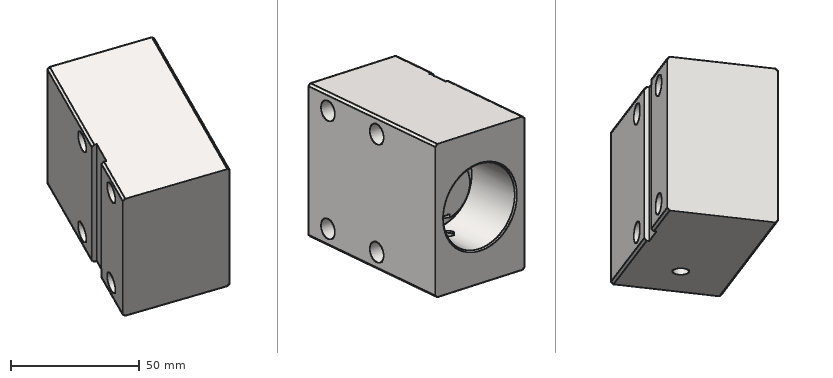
import cadquery as cq

length = 78.0
width = 45.0
height = 65.0
edge_chamfer = 1.0

bore_radius = 18.0
bore_depth = 27.0
bore_chamfer = 0.6
boss_radius = 12.5
boss_face_x = 21.45

slot_center_x = 51.0
slot_width = 10.0
slot_depth = 2.0
mount_diameter = 8.5
mount_pitch_x = 30.0
mount_pitch_z = 50.0

port_x = 20.0
port_radius = 2.7
port_top_z = -10.85
port_entry_radius = 3.3
port_entry_top_z = -18.8

bottom_z = -height / 2


def cylinder_along_x(radius, x_start, x_end):
    return cq.Workplane("YZ", origin=(x_start, 0, 0)).circle(radius).extrude(x_end - x_start)


def port_bore(radius, top_z):
    return cq.Workplane("XY", origin=(port_x, 0, bottom_z)).circle(radius).extrude(top_z - bottom_z)


block = cq.Workplane("XY").box(length, width, height).translate((length / 2, 0, 0))
block = block.edges("|X").chamfer(edge_chamfer)

slot = (
    cq.Workplane("XY")
    .box(slot_width, 2 * slot_depth, height)
    .translate((slot_center_x, -width / 2, 0))
)

mount_holes = (
    cq.Workplane("XZ", origin=(slot_center_x, 0, 0))
    .rarray(mount_pitch_x, mount_pitch_z, 2, 2)
    .circle(mount_diameter / 2)
    .extrude(width, both=True)
)

bore = cylinder_along_x(bore_radius, 0, bore_depth)
boss = cylinder_along_x(boss_radius, boss_face_x, bore_depth)

result = (
    block.cut(slot)
    .cut(mount_holes)
    .cut(bore.cut(boss))
    .faces("<X")
    .edges("%CIRCLE")
    .chamfer(bore_chamfer)
    .cut(port_bore(port_radius, port_top_z))
    .cut(port_bore(port_entry_radius, port_entry_top_z))
)